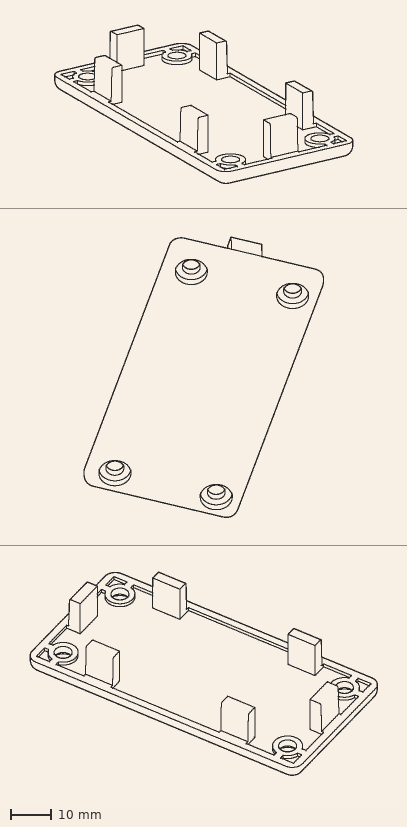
import cadquery as cq

length = 80.0
width = 40.0
plate_height = 4.0
corner_radius = 3.0
bottom_round = 2.5

rim_width = 2.0
recess_depth = 1.0
recess_floor = plate_height - recess_depth

boss_diameter = 7.5
web_width = 2.0
hole_diameter = 4.5
counterbore_diameter = 8.0
counterbore_depth = 2.0
hole_inset = 6.8
hole_x = length / 2 - hole_inset
hole_y = width / 2 - hole_inset

total_height = 13.0
clip_width = 8.0
clip_inner_inset = 6.0
end_clip_outer_inset = 2.6
side_clip_outer_inset = 2.8
clip_lean = 0.2
clip_round = 0.5
side_clip_spacing = 40.0


def make_plate():
    """Plate with rounded corners and a rounded lower edge."""
    plate = cq.Workplane("XY").rect(length, width).extrude(plate_height)
    plate = plate.edges("|Z").fillet(corner_radius)
    return plate.faces("<Z").edges().fillet(bottom_round)


def recess_plane():
    """Workplane on the floor of the recess."""
    return cq.Workplane("XY").workplane(offset=recess_floor)


def make_recess():
    """Volume removed from the top of the plate inside the rim."""
    return (
        recess_plane()
        .rect(length - 2 * rim_width, width - 2 * rim_width)
        .extrude(recess_depth)
    )


def make_boss(side_x, side_y):
    """Round boss at one corner, with a web to each of the two nearby rims."""
    x = side_x * hole_x
    y = side_y * hole_y
    web_length = hole_inset - rim_width
    boss = recess_plane().center(x, y).circle(boss_diameter / 2).extrude(recess_depth)
    web_to_end = (
        recess_plane()
        .center(x + side_x * web_length / 2, y)
        .rect(web_length, web_width)
        .extrude(recess_depth)
    )
    web_to_side = (
        recess_plane()
        .center(x, y + side_y * web_length / 2)
        .rect(web_width, web_length)
        .extrude(recess_depth)
    )
    return boss.union(web_to_end).union(web_to_side)


def make_clip(edge_distance, outer_inset):
    """Clip facing +X, its foot merging with the rim of an edge at X = edge_distance."""
    inner = edge_distance - clip_inner_inset
    outer = edge_distance - outer_inset
    rim_inside = edge_distance - rim_width
    profile = [
        (inner, recess_floor),
        (rim_inside, recess_floor),
        (rim_inside, plate_height),
        (outer, plate_height),
        (outer - clip_lean, total_height),
        (inner, total_height),
    ]
    clip = cq.Workplane("XZ").polyline(profile).close().extrude(clip_width / 2, both=True)
    return clip.faces(">Z").edges(">X").fillet(clip_round)


def turn_about_z(body, angle):
    """Turn a body about the central vertical axis."""
    return body.rotate((0, 0, 0), (0, 0, 1), angle)


result = make_plate().cut(make_recess())

for side_x in (-1, 1):
    for side_y in (-1, 1):
        result = result.union(make_boss(side_x, side_y))

end_clip = make_clip(length / 2, end_clip_outer_inset)
side_clip = turn_about_z(make_clip(width / 2, side_clip_outer_inset), 90)
for angle in (0, 180):
    result = result.union(turn_about_z(end_clip, angle))
    for clip_x in (-side_clip_spacing / 2, side_clip_spacing / 2):
        result = result.union(turn_about_z(side_clip.translate((clip_x, 0, 0)), angle))

hole_points = cq.Workplane("XY").rect(2 * hole_x, 2 * hole_y, forConstruction=True).vertices()
screw_holes = hole_points.circle(hole_diameter / 2).extrude(plate_height)
counterbores = hole_points.circle(counterbore_diameter / 2).extrude(counterbore_depth)
result = result.cut(screw_holes).cut(counterbores)